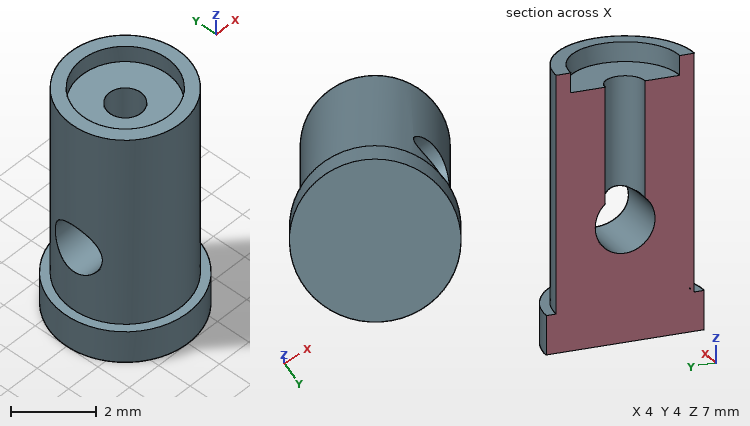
import cadquery as cq

total_height = 7.0
flange_diameter = 4.0
flange_height = 1.0
body_diameter = 3.5
recess_diameter = 2.75
recess_depth = 0.5
bore_diameter = 1.0
cross_hole_diameter = 1.5
cross_hole_height = 3.0

flange = cq.Workplane("XY").circle(flange_diameter / 2).extrude(flange_height)
body = cq.Workplane("XY").circle(body_diameter / 2).extrude(total_height)

recess_floor = total_height - recess_depth
recess = (
    cq.Workplane("XY")
    .workplane(offset=recess_floor)
    .circle(recess_diameter / 2)
    .extrude(recess_depth)
)

bore = (
    cq.Workplane("XY")
    .workplane(offset=cross_hole_height)
    .circle(bore_diameter / 2)
    .extrude(recess_floor - cross_hole_height)
)

cross_hole = (
    cq.Workplane("YZ", origin=(-body_diameter / 2, 0, 0))
    .center(0, cross_hole_height)
    .circle(cross_hole_diameter / 2)
    .extrude(body_diameter)
)

result = flange.union(body).cut(recess).cut(bore).cut(cross_hole)